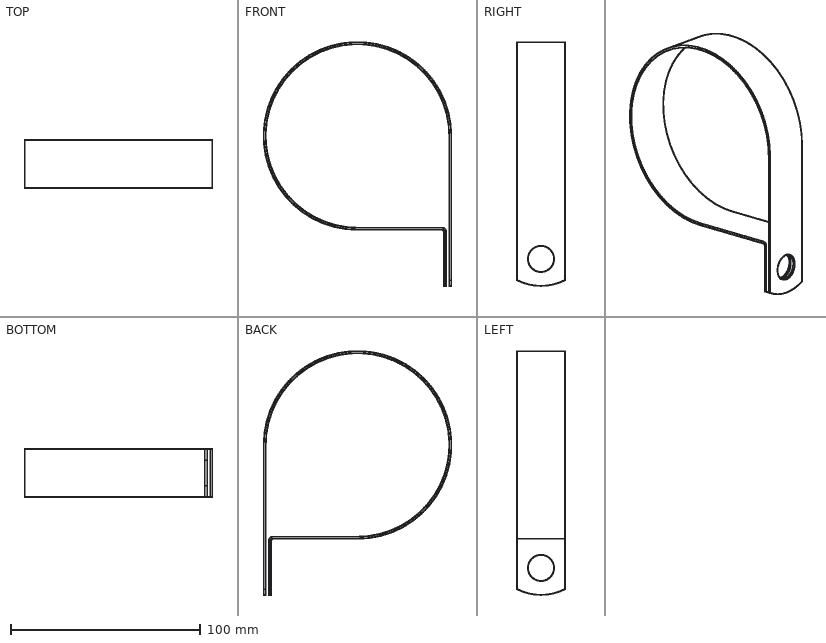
import cadquery as cq
import math

band_diameter = 99.3
overall_height = 129.0
strap_width = 25.4
strap_thickness = 1.2
tab_gap = 1.5
inner_bend_radius = 1.0
hole_diameter = 13.7
hole_height = 14.3
tip_rise = 3.1

outer_radius = band_diameter / 2
inner_radius = outer_radius - strap_thickness
outer_bend_radius = inner_bend_radius + strap_thickness
tip_z = outer_radius - overall_height
near_tab_outer_x = inner_radius - tab_gap
near_tab_inner_x = near_tab_outer_x - strap_thickness
bend_x = near_tab_inner_x - inner_bend_radius
bend_z = -outer_radius - inner_bend_radius


def point_opposite_tabs(radius):
    """Middle of the three-quarter arc, on the diagonal facing away from the tabs."""
    offset = radius / math.sqrt(2)
    return (-offset, offset)


def make_strap():
    """Bent strip: far tab, three-quarter round band, flat run, bend and near tab."""
    return (
        cq.Workplane("XZ", origin=(0, strap_width / 2, 0))
        .moveTo(outer_radius, tip_z)
        .lineTo(outer_radius, 0)
        .threePointArc(point_opposite_tabs(outer_radius), (0, -outer_radius))
        .lineTo(bend_x, -outer_radius)
        .radiusArc((near_tab_inner_x, bend_z), inner_bend_radius)
        .lineTo(near_tab_inner_x, tip_z)
        .lineTo(near_tab_outer_x, tip_z)
        .lineTo(near_tab_outer_x, bend_z)
        .radiusArc((bend_x, bend_z + outer_bend_radius), -outer_bend_radius)
        .lineTo(0, -inner_radius)
        .threePointArc(point_opposite_tabs(inner_radius), (inner_radius, 0))
        .lineTo(inner_radius, tip_z)
        .close()
        .extrude(strap_width)
    )


def make_side_envelope():
    """Side outline of the strap with its rounded tip, extruded across the whole band."""
    half_width = strap_width / 2
    corner_z = tip_z + tip_rise
    return (
        cq.Workplane("YZ", origin=(-outer_radius, 0, 0))
        .moveTo(-half_width, outer_radius)
        .lineTo(-half_width, corner_z)
        .threePointArc((0, tip_z), (half_width, corner_z))
        .lineTo(half_width, outer_radius)
        .close()
        .extrude(band_diameter)
    )


def make_bolt_hole():
    """Cylinder that passes through both tabs."""
    return (
        cq.Workplane("YZ")
        .center(0, tip_z + hole_height)
        .circle(hole_diameter / 2)
        .extrude(band_diameter)
    )


result = make_strap().intersect(make_side_envelope()).cut(make_bolt_hole())